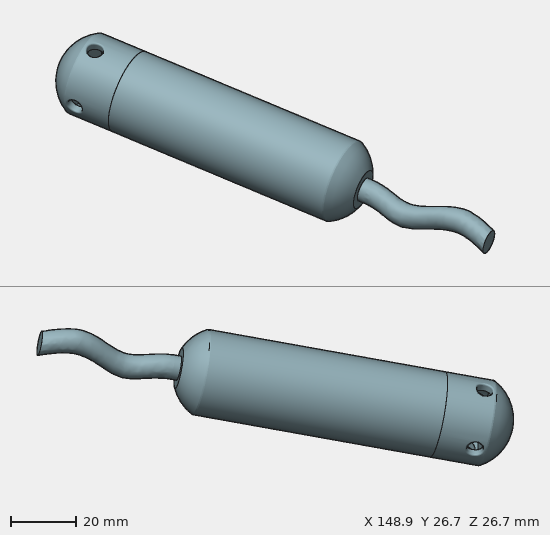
import cadquery as cq
import math

total_length = 148.9
body_diameter = 26.7
dome_radius = 14.9
dome_edge_fillet = 1.0
cap_end = 23.5
housing_edge = 98.3
housing_end = 105.1
cap_bore_diameter = 21.6

hole_position = 11.8
hole_diameter = 5.0
hole_rim_fillet = 0.5

cable_diameter = 7.6
cable_straight_end = 107.2
cable_wave = [
    (cable_straight_end, 0),
    (113.6, -1.2),
    (121.7, -2.8),
    (128.7, 0),
    (138.0, 3.3),
    (143.4, 2.2),
    (total_length, 0),
]

body_radius = body_diameter / 2
dome_edge_offset = math.sqrt(dome_radius**2 - body_radius**2)
cap_edge = dome_radius - dome_edge_offset


def dome_point(center, x):
    """Point of the dome profile at x, for a sphere centred on the axis at center."""
    return (x, math.sqrt(dome_radius**2 - (x - center) ** 2))


def revolve_about_x(profile):
    return profile.close().revolve(360, (0, 0, 0), (1, 0, 0))


def edges_in_box(body, center, half_size):
    """Edges whose centres lie in a cube around center."""
    middle = cq.Vector(*center)
    corner = cq.Vector(half_size, half_size, half_size)
    zone = cq.selectors.BoxSelector((middle - corner).toTuple(), (middle + corner).toTuple())
    return body.edges(zone)


def fillet_dome_edge(body, edge_x):
    """Round the circle where a dome meets the cylinder."""
    dome_edge = edges_in_box(body, (edge_x, 0, 0), dome_edge_fillet).edges("%CIRCLE")
    return dome_edge.fillet(dome_edge_fillet)


def drill_cross_hole(cap, plane):
    """Drill right through the cap, square to plane and across the axis."""
    hole = (
        cq.Workplane(plane)
        .center(hole_position, 0)
        .circle(hole_diameter / 2)
        .extrude(body_diameter, both=True)
    )
    return cap.cut(hole)


def bore_cap(cap):
    """Hollow the cap from the joint to the plane where its dome begins."""
    bore = (
        cq.Workplane("YZ", origin=(cap_edge, 0, 0))
        .circle(cap_bore_diameter / 2)
        .extrude(cap_end - cap_edge)
    )
    return cap.cut(bore)


def make_cap():
    profile = (
        cq.Workplane("XY")
        .threePointArc(dome_point(dome_radius, cap_edge / 2), (cap_edge, body_radius))
        .lineTo(cap_end, body_radius)
        .lineTo(cap_end, 0)
    )
    cap = fillet_dome_edge(revolve_about_x(profile), cap_edge)
    for plane in ("XZ", "XY"):
        cap = drill_cross_hole(cap, plane)
    for side in (-body_radius, body_radius):
        for rim_center in ((hole_position, side, 0), (hole_position, 0, side)):
            cap = edges_in_box(cap, rim_center, hole_diameter / 2).fillet(hole_rim_fillet)
    return bore_cap(cap)


def make_housing():
    dome_center = housing_edge - dome_edge_offset
    dome_middle = (housing_edge + housing_end) / 2
    profile = (
        cq.Workplane("XY")
        .moveTo(cap_end, 0)
        .lineTo(cap_end, body_radius)
        .lineTo(housing_edge, body_radius)
        .threePointArc(dome_point(dome_center, dome_middle), dome_point(dome_center, housing_end))
        .lineTo(housing_end, 0)
    )
    return fillet_dome_edge(revolve_about_x(profile), housing_edge)


def cable_section(x):
    return cq.Workplane("YZ", origin=(x, 0, 0)).circle(cable_diameter / 2)


def make_cable():
    straight = cable_section(housing_end).extrude(cable_straight_end - housing_end)
    wave_path = cq.Workplane("XY").spline(cable_wave)
    wave = cable_section(cable_straight_end).sweep(wave_path, normal=(1, 0, 0))
    return straight.union(wave)


cap = make_cap()
housing = make_housing()
cable = make_cable()

result = cq.Compound.makeCompound([body.solids().val() for body in (cap, housing, cable)])